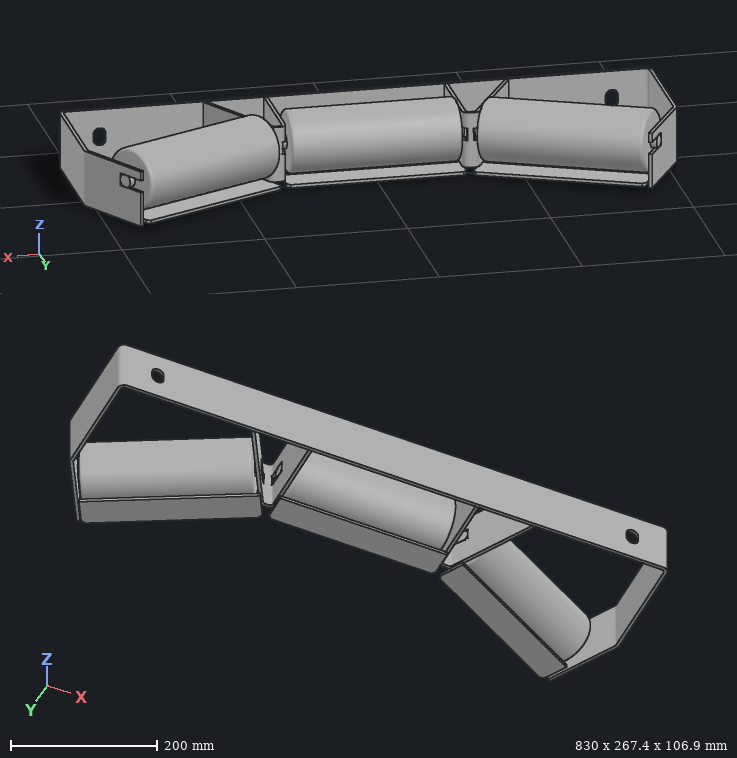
import cadquery as cq
import math


strip_thickness = 5.0
strip_height = 80.0
bend_radius = 10.0

frame_length = 830.0
tip_past_axis = 31.5
mount_hole_width = 17.5
mount_hole_height = 25.0
mount_hole_inset = 56.5

roller_length = 239.0
roller_diameter = 89.0
roller_rim_radius = 5.0
roller_gap = 4.0
shaft_diameter = 20.0
shaft_flat_width = 17.5
flat_clearance = 1.0

axis_height = 48.0
center_y = 100.5
side_x = 262.0
side_y = 171.0
trough_angle = 30.0
tilt_angle = 2.25

bracket_top_y = 128.0

plate_width = 41.5
plate_thickness = 5.0
plate_corner = 5.0
plate_clearance = 1.0

slot_margin = 1.0
slot_reach = 66.0

leg_face = roller_length / 2 + roller_gap
leg_back = leg_face + strip_thickness
under_leg = leg_face + strip_thickness / 2

axis_x = math.cos(math.radians(trough_angle))
axis_y = math.sin(math.radians(trough_angle))
tilt = math.radians(tilt_angle)
side_z = axis_height + leg_face * math.sin(tilt)


def side_point(along, across):
    """Plan point of the right side roller, measured along and across its axis from its middle."""
    return (
        side_x + along * axis_x - across * axis_y,
        side_y + along * axis_y + across * axis_x,
    )


def place_center(body, drop=0):
    """Move a body to the center roller's position, lowered by drop."""
    return body.translate((0, center_y, axis_height - drop))


def place_right(body, drop=0):
    """Tilt and turn a body to the right side roller's position, lowered by drop."""
    tilted = body.rotate((0, 0, 0), (0, 1, 0), -tilt_angle)
    turned = tilted.rotate((0, 0, 0), (0, 0, 1), trough_angle)
    return turned.translate((side_x, side_y, side_z - drop))


def place_left(body, drop=0):
    return place_right(body, drop).mirror("YZ")


placements = [place_left, place_center, place_right]


def direction(start, end):
    length = math.dist(start, end)
    return ((end[0] - start[0]) / length, (end[1] - start[1]) / length)


def inner_face(corners):
    """Corners of the face one strip thickness to the left of the given outer face."""
    headings = [direction(a, b) for a, b in zip(corners, corners[1:])]
    before = [headings[0]] + headings
    after = headings + [headings[-1]]
    inner = []
    for (x, y), (ax, ay), (bx, by) in zip(corners, before, after):
        miter = strip_thickness / (1 + ax * bx + ay * by)
        inner.append((x - (ay + by) * miter, y + (ax + bx) * miter))
    return inner


def trace_face(outline, corners, radius):
    """Extend the outline through the corners, rounding each inner corner with a tangent arc."""
    for previous, corner, following in zip(corners, corners[1:], corners[2:]):
        ax, ay = direction(previous, corner)
        bx, by = direction(corner, following)
        turn = math.acos(ax * bx + ay * by)
        setback = radius * math.tan(turn / 2)
        outline = outline.lineTo(corner[0] - ax * setback, corner[1] - ay * setback)
        outline = outline.tangentArcPoint(
            (corner[0] + bx * setback, corner[1] + by * setback), relative=False
        )
    return outline.lineTo(*corners[-1])


def bent_strip(outer_corners):
    inner_corners = inner_face(outer_corners)[::-1]
    outline = cq.Workplane("XY").moveTo(*outer_corners[0])
    outline = trace_face(outline, outer_corners, bend_radius)
    outline = outline.lineTo(*inner_corners[0])
    outline = trace_face(outline, inner_corners, bend_radius - strip_thickness)
    return outline.close().extrude(strip_height)


def axial_cylinder(diameter, half_length):
    cylinder = cq.Workplane("YZ").circle(diameter / 2).extrude(2 * half_length)
    return cylinder.translate((-half_length, 0, 0))


def make_roller():
    """Roller with its shaft; the shaft ends are flattened to sit in the leg slots."""
    drum = axial_cylinder(roller_diameter, roller_length / 2).edges().fillet(roller_rim_radius)
    round_part = axial_cylinder(shaft_diameter, leg_face - flat_clearance)
    flat_part = axial_cylinder(shaft_diameter, leg_back)
    flat_part = flat_part.intersect(cq.Workplane().box(2 * leg_back, shaft_diameter, shaft_flat_width))
    return drum.union(round_part).union(flat_part)


def make_plate(inner_reach, outer_reach):
    """Tie plate with its top at the origin, reaching towards +Y, its two far corners cut off."""
    plate = cq.Workplane().box(inner_reach + outer_reach, plate_width, plate_thickness, centered=False)
    plate = plate.edges("|Z and >Y").chamfer(plate_corner)
    return plate.translate((-inner_reach, 0, -plate_thickness))


def make_shaft_slot():
    """Cutter for the square-ended slots, open towards +Y, that hold both ends of a shaft."""
    slot = cq.Workplane().box(
        2 * (leg_back + slot_margin),
        shaft_diameter / 2 + slot_reach,
        shaft_flat_width,
        centered=(True, False, True),
    )
    return slot.translate((0, -shaft_diameter / 2, 0))


def make_frame():
    half = frame_length / 2
    tip = side_point(leg_back, tip_past_axis)
    foot = side_point(leg_back, 0)
    bend_y = foot[1] - (half - foot[0]) * axis_x / axis_y
    right_side = [(half, 0), (half, bend_y), tip]
    left_side = [(-x, y) for x, y in reversed(right_side)]
    frame = bent_strip(left_side + right_side)

    hole_x = half - mount_hole_inset
    holes = (
        cq.Workplane("XZ")
        .pushPoints([(-hole_x, strip_height / 2), (hole_x, strip_height / 2)])
        .slot2D(mount_hole_height, mount_hole_width, 90)
        .extrude(-strip_thickness)
    )
    frame = frame.cut(holes)

    for place in (place_left, place_right):
        frame = frame.cut(place(make_shaft_slot()))
    return frame


def make_right_bracket():
    """Upright leg at the center roller, short bridge, sloping leg at the side roller."""
    face = side_point(-leg_face, 0)
    ridge_x = face[0] - (bracket_top_y - face[1]) * axis_y / axis_x
    foot_y = strip_thickness + strip_thickness * axis_y
    foot_x = face[0] + (face[1] - foot_y) * axis_y / axis_x
    bracket = bent_strip(
        [
            (foot_x, foot_y),
            (ridge_x, bracket_top_y),
            (leg_face, bracket_top_y),
            (leg_face, strip_thickness),
        ]
    )
    return bracket.cut(place_center(make_shaft_slot())).cut(place_right(make_shaft_slot()))


frame = make_frame()
right_bracket = make_right_bracket()
brackets = [right_bracket, right_bracket.mirror("YZ")]
rollers = [place(make_roller()) for place in placements]
center_plate = place_center(make_plate(under_leg, under_leg), axis_height)
side_plate = make_plate(under_leg, leg_face - plate_clearance)
side_plates = [place(side_plate, axis_height) for place in (place_left, place_right)]

result = cq.Compound.makeCompound(
    [body.val() for body in [frame, *brackets, *rollers, center_plate, *side_plates]]
)